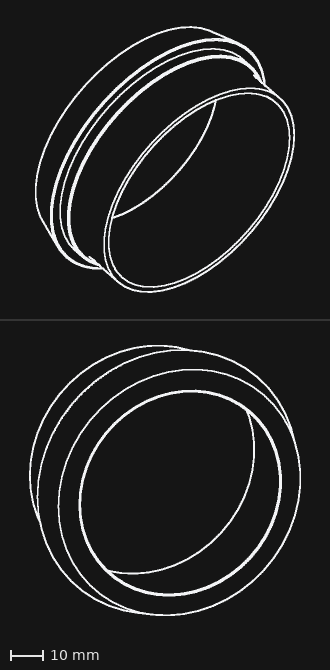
import cadquery as cq
import math

length = 32.0

bore_front_radius = 33.0
bore_back_radius = 36.15
bore_chamfer_length = 0.2
bore_chamfer_depth = 0.4

flange_radius = 42.9
flange_front_radius = 40.0
flange_front_x = 0.7
front_edge_break_length = 0.1
front_edge_break_depth = 0.3
rim_back_x = 11.7
rim_chamfer_length = 0.3
rim_chamfer_depth = 0.4

collar_radius = 39.5
collar_front_x = 12.2
collar_back_x = 16.2
collar_chamfer = 0.35

tube_radius = 38.05
tube_start_x = 18.1
fillet_top_radius = 39.0

fillet_width = tube_start_x - collar_back_x
fillet_rise = fillet_top_radius - tube_radius
fillet_radius = (fillet_width**2 + fillet_rise**2) / (2 * fillet_rise)
fillet_half_angle = math.asin(fillet_width / fillet_radius) / 2
fillet_middle = (
    tube_start_x - fillet_radius * math.sin(fillet_half_angle),
    tube_radius + fillet_radius * (1 - math.cos(fillet_half_angle)),
)

half_section = (
    cq.Workplane("XY")
    .moveTo(bore_chamfer_length, bore_front_radius)
    .lineTo(0, bore_front_radius + bore_chamfer_depth)
    .lineTo(flange_front_x - front_edge_break_length, flange_front_radius - front_edge_break_depth)
    .lineTo(flange_front_x, flange_front_radius)
    .lineTo(rim_back_x, flange_radius)
    .lineTo(rim_back_x + rim_chamfer_length, flange_radius - rim_chamfer_depth)
    .lineTo(collar_front_x, collar_radius)
    .lineTo(collar_back_x - collar_chamfer, collar_radius)
    .lineTo(collar_back_x, collar_radius - collar_chamfer)
    .lineTo(collar_back_x, fillet_top_radius)
    .threePointArc(fillet_middle, (tube_start_x, tube_radius))
    .lineTo(length, tube_radius)
    .lineTo(length, bore_back_radius)
    .close()
)

result = half_section.revolve(360, (0, 0, 0), (1, 0, 0))